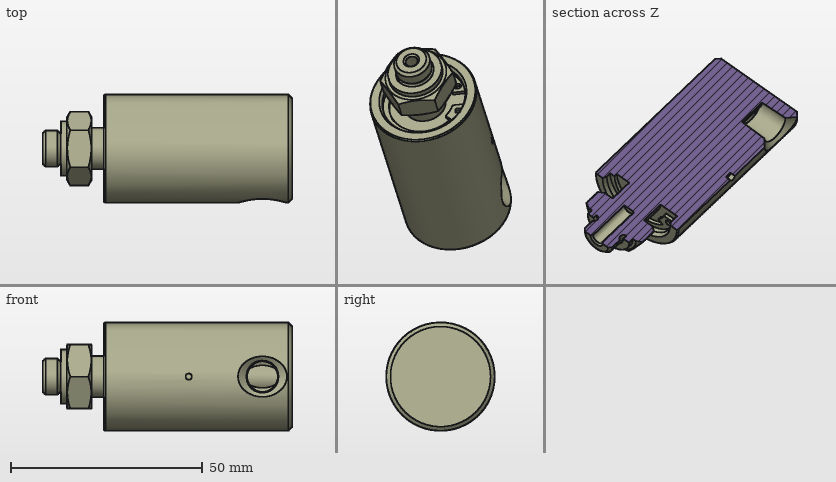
import cadquery as cq
import math

total_length = 65.3
collar_start = 4.75
nut_start = 6.3
nut_end = 12.85
body_start = 16.0

spigot_dia = 9.5
spigot_tip_dia = 7.95
thread_end = 3.85
thread_end_chamfer = 0.4
collar_dia = 14.3
collar_groove_dia = 10.1
collar_groove_depth = 1.25
shaft_dia = 10.9
bore_dia = 3.2
bore_mouth_dia = 4.2
bore_depth = 13.05

nut_across_flats = 16.8
nut_face_dia = 16.25
nut_chamfer_angle = 30.0

body_dia = 28.4
front_chamfer_length = 0.5
front_chamfer_height = 0.25
rear_chamfer = 1.1

recess_mouth_dia = 23.3
recess_dia = 22.05
recess_taper_length = 1.05

ring_inner_dia = 19.05
ring_setback = 2.4
ring_thickness = 1.0
recess_floor = body_start + ring_setback + ring_thickness
ring_gap = 4.2
lug_inner_radius = 7.7
lug_half_angle = 43.6
lug_hole_dia = 1.55
lug_hole_radius = 9.7
lug_hole_half_spacing = 4.0

port_x = 57.45
port_rim_dia = 12.8
port_countersink_angle = 94.0
port_mouth_dia = 8.4
port_seat_dia = 7.95
port_seat_distance = 3.8
port_tip_angle = 120.0
core_dia = 8.7

side_hole_x = 38.2
side_hole_dia = 1.6
side_hole_depth = 1.55


def x_cylinder(diameter, start, end):
    """Solid cylinder on the part axis between two X positions."""
    return cq.Workplane("YZ", origin=(start, 0, 0)).circle(diameter / 2).extrude(end - start)


def revolve_about_x(points):
    """Revolve a closed (x, radius) outline about the part axis."""
    return cq.Workplane("XY").polyline(points).close().revolve(360, (0, 0, 0), (1, 0, 0))


def make_spigot():
    """Threaded spigot, undercut by a concave arc that runs into a groove in the collar face."""
    radius = spigot_dia / 2
    tip_chamfer = (spigot_dia - spigot_tip_dia) / 2
    groove_floor = collar_start + collar_groove_depth
    arc_start = (thread_end + thread_end_chamfer, radius - thread_end_chamfer)
    arc_end = (groove_floor, collar_groove_dia / 2)
    spigot = (
        cq.Workplane("XY")
        .lineTo(0, spigot_tip_dia / 2)
        .lineTo(tip_chamfer, radius)
        .lineTo(thread_end, radius)
        .lineTo(*arc_start)
        .tangentArcPoint(arc_end, relative=False)
        .lineTo(groove_floor, 0)
        .close()
        .revolve(360, (0, 0, 0), (1, 0, 0))
    )
    collar = x_cylinder(collar_dia, collar_start, nut_start)
    collar = collar.cut(x_cylinder(collar_groove_dia, collar_start, groove_floor))
    shaft = x_cylinder(shaft_dia, nut_end, recess_floor)
    return collar.union(spigot).union(shaft)


def make_nut():
    corner_dia = nut_across_flats / math.cos(math.pi / 6)
    chamfer_height = (corner_dia - nut_face_dia) / 2
    chamfer_length = chamfer_height * math.tan(math.radians(nut_chamfer_angle))
    hexagon = (
        cq.Workplane("YZ", origin=(nut_start, 0, 0))
        .polygon(6, corner_dia)
        .extrude(nut_end - nut_start)
    )
    envelope = x_cylinder(corner_dia, nut_start, nut_end).edges().chamfer(chamfer_length, chamfer_height)
    return hexagon.intersect(envelope)


def make_body():
    body_radius = body_dia / 2
    return revolve_about_x([
        (recess_floor, 0),
        (recess_floor, recess_dia / 2),
        (body_start + recess_taper_length, recess_dia / 2),
        (body_start, recess_mouth_dia / 2),
        (body_start, body_radius - front_chamfer_height),
        (body_start + front_chamfer_length, body_radius),
        (total_length - rear_chamfer, body_radius),
        (total_length, body_radius - rear_chamfer),
        (total_length, 0),
    ])


def make_retaining_ring():
    """Open ring whose two drilled lugs face -Y, one on each side of the gap."""
    start = recess_floor - ring_thickness
    end = recess_floor
    lug_reach = recess_dia
    lug_spread = lug_reach * math.tan(math.radians(lug_half_angle))
    plane = cq.Workplane("YZ", origin=(start, 0, 0))

    lugs = x_cylinder(recess_dia, start, end).cut(x_cylinder(2 * lug_inner_radius, start, end))
    sector = plane.polyline([(0, 0), (-lug_reach, lug_spread), (-lug_reach, -lug_spread)]).close()
    lugs = lugs.intersect(sector.extrude(ring_thickness))

    ring = x_cylinder(recess_dia, start, end).cut(x_cylinder(ring_inner_dia, start, end)).union(lugs)
    gap = plane.center(-recess_dia / 2, 0).rect(recess_dia, ring_gap).extrude(ring_thickness)
    hole_y = -math.sqrt(lug_hole_radius**2 - lug_hole_half_spacing**2)
    holes = (
        plane.pushPoints([(hole_y, lug_hole_half_spacing), (hole_y, -lug_hole_half_spacing)])
        .circle(lug_hole_dia / 2)
        .extrude(ring_thickness)
    )
    return ring.cut(gap).cut(holes)


def make_bore():
    mouth_depth = (bore_mouth_dia - bore_dia) / 2
    return revolve_about_x([
        (0, 0),
        (0, bore_mouth_dia / 2),
        (mouth_depth, bore_dia / 2),
        (bore_depth, bore_dia / 2),
        (bore_depth, 0),
    ])


def make_port():
    """Countersunk, tapered port with a drill-point bottom that leaves a round core standing."""
    rim_radius = port_rim_dia / 2
    mouth_radius = port_mouth_dia / 2
    seat_radius = port_seat_dia / 2
    rim_y = -body_dia / 2
    countersink_depth = (rim_radius - mouth_radius) / math.tan(math.radians(port_countersink_angle / 2))
    mouth_y = rim_y + countersink_depth
    seat_y = -port_seat_distance
    tip_y = seat_y + seat_radius / math.tan(math.radians(port_tip_angle / 2))
    port = (
        cq.Workplane("XY")
        .polyline([
            (port_x, rim_y),
            (port_x + rim_radius, rim_y),
            (port_x + mouth_radius, mouth_y),
            (port_x + seat_radius, seat_y),
            (port_x, tip_y),
        ])
        .close()
        .revolve(360, (port_x, 0, 0), (port_x, 1, 0))
    )
    return port.cut(x_cylinder(core_dia, body_start, total_length))


def make_side_hole():
    """Cutter centred on the body surface, so half of its length lies outside the body."""
    return (
        cq.Workplane("XZ", origin=(side_hole_x, side_hole_depth - body_dia / 2, 0))
        .circle(side_hole_dia / 2)
        .extrude(2 * side_hole_depth)
    )


result = make_body().union(make_spigot()).union(make_nut()).union(make_retaining_ring())
result = result.cut(make_bore()).cut(make_port()).cut(make_side_hole())